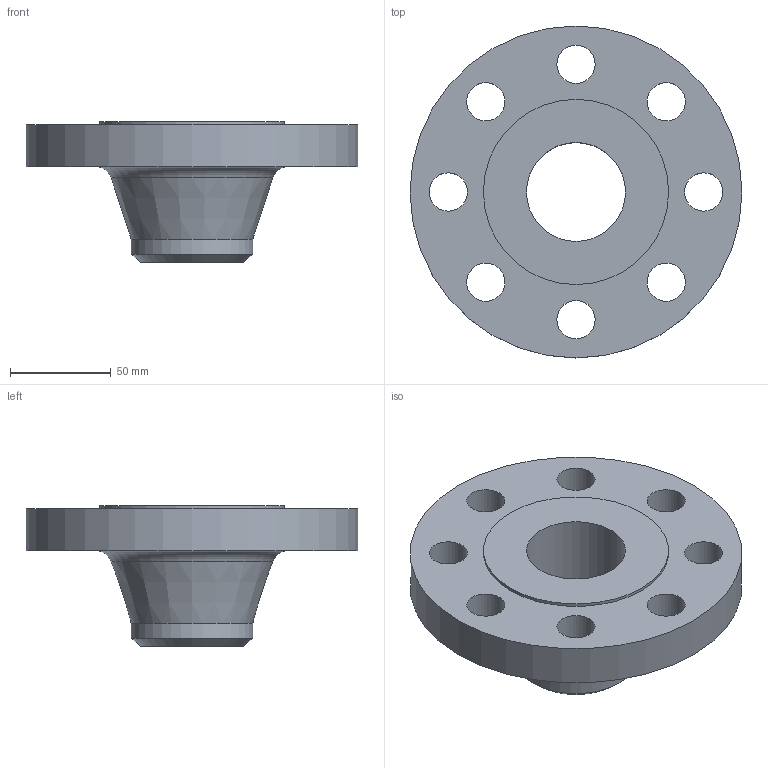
import cadquery as cq
import math

flange_diameter = 165.1
overall_height = 69.85
flange_thickness = 22.35
raised_face_diameter = 92.1
raised_face_height = 1.52
bore_diameter = 49.25

bolt_count = 8
bolt_circle_diameter = 127.0
bolt_hole_diameter = 19.05

hub_base_diameter = 84.0
weld_end_diameter = 60.45
weld_end_length = 11.5
hub_fillet_radius = 8.0

bevel_height = 4.0
bevel_angle = 50.0

back_face_z = overall_height - flange_thickness
rim_top_z = overall_height - raised_face_height


def flange_body():
    """Revolve the flange, raised face and hub as one solid of revolution."""
    weld_end_radius = weld_end_diameter / 2
    bevel_width = bevel_height * math.tan(math.radians(bevel_angle))

    taper_height = back_face_z - weld_end_length
    taper_angle = math.atan2(hub_base_diameter / 2 - weld_end_radius, taper_height)
    corner_angle = math.pi / 2 + taper_angle
    tangent_length = hub_fillet_radius / math.tan(corner_angle / 2)
    corner_radius = hub_base_diameter / 2
    fillet_start = (
        corner_radius - tangent_length * math.sin(taper_angle),
        back_face_z - tangent_length * math.cos(taper_angle),
    )
    fillet_end = (corner_radius + tangent_length, back_face_z)
    fillet_center = (fillet_end[0], back_face_z - hub_fillet_radius)
    middle_angle = math.pi / 2 + (math.pi - corner_angle) / 2
    fillet_middle = (
        fillet_center[0] + hub_fillet_radius * math.cos(middle_angle),
        fillet_center[1] + hub_fillet_radius * math.sin(middle_angle),
    )

    profile = (
        cq.Workplane("XZ")
        .moveTo(bore_diameter / 2, 0)
        .lineTo(weld_end_radius - bevel_width, 0)
        .lineTo(weld_end_radius, bevel_height)
        .lineTo(weld_end_radius, weld_end_length)
        .lineTo(*fillet_start)
        .threePointArc(fillet_middle, fillet_end)
        .lineTo(flange_diameter / 2, back_face_z)
        .lineTo(flange_diameter / 2, rim_top_z)
        .lineTo(raised_face_diameter / 2, rim_top_z)
        .lineTo(raised_face_diameter / 2, overall_height)
        .lineTo(bore_diameter / 2, overall_height)
        .close()
    )
    return profile.revolve(360, (0, 0, 0), (0, 1, 0))


def bolt_holes():
    """Cylinders that cut the bolt holes through the rim."""
    return (
        cq.Workplane("XY")
        .workplane(offset=back_face_z)
        .polarArray(bolt_circle_diameter / 2, 0, 360, bolt_count)
        .circle(bolt_hole_diameter / 2)
        .extrude(flange_thickness)
    )


result = flange_body().cut(bolt_holes())